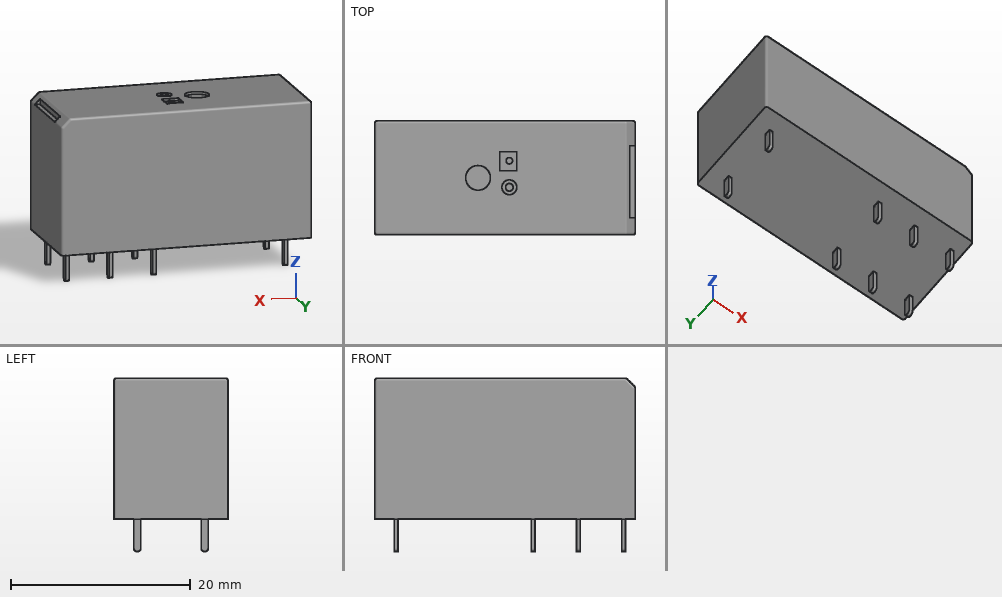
import cadquery as cq

case_length = 29.0
case_width = 12.71
case_height = 15.7
bevel = 1.0
edge_radius = 0.3

pin_length = 3.6
pin_thickness = 0.44
pin_width = 0.82
pin_tip_radius = 0.38
pin_row_spacing = 7.5
first_pin_x = -12.12
contact_offset = 15.24
contact_pin_x = first_pin_x + contact_offset
contact_pin_pitch = 5.04
contact_pin_count = 3
pin_xs = [first_pin_x] + [contact_pin_x + i * contact_pin_pitch for i in range(contact_pin_count)]

recess_depth = 0.3
dimple_diameter = 2.75
dimple_center = (-3.0, 0.0)
square_size = (1.9, 2.1)
square_center = (0.35, 1.85)
post_x = 0.48
square_post_diameter = 0.72
square_post_center = (post_x, 1.9)
ring_diameter = 1.65
ring_post_diameter = 0.85
ring_center = (post_x, -1.05)

notch_width = 8.0
notch_depth = 0.62
notch_center_y = -0.45
notch_floor_z = case_height - bevel


def make_case():
    case = cq.Workplane("XY").box(case_length, case_width, case_height, centered=(True, True, False))
    case = case.edges(">Z and >X").chamfer(bevel)
    return case.edges("not(<Z)").fillet(edge_radius)


def make_pin(x, y):
    pin = cq.Workplane("XY").box(pin_thickness, pin_width, pin_length, centered=(True, True, False))
    pin = pin.edges("|X and <Z").fillet(pin_tip_radius)
    return pin.translate((x, y, -pin_length))


def notch_cutter():
    notch_height = case_height - notch_floor_z
    notch = cq.Workplane("XY").box(notch_depth, notch_width, notch_height, centered=(False, True, False))
    return notch.translate((case_length / 2 - notch_depth, notch_center_y, notch_floor_z))


def recess_floor(center):
    return cq.Workplane("XY", origin=(*center, case_height - recess_depth))


def round_cutter(center, diameter):
    return recess_floor(center).circle(diameter / 2).extrude(recess_depth)


def square_cutter():
    recess = recess_floor(square_center).rect(*square_size).extrude(recess_depth)
    return recess.cut(round_cutter(square_post_center, square_post_diameter))


def ring_cutter():
    return round_cutter(ring_center, ring_diameter).cut(round_cutter(ring_center, ring_post_diameter))


result = make_case()
result = result.cut(notch_cutter())
result = result.cut(round_cutter(dimple_center, dimple_diameter))
result = result.cut(square_cutter())
result = result.cut(ring_cutter())

for pin_x in pin_xs:
    for side in (-1, 1):
        result = result.union(make_pin(pin_x, side * pin_row_spacing / 2))